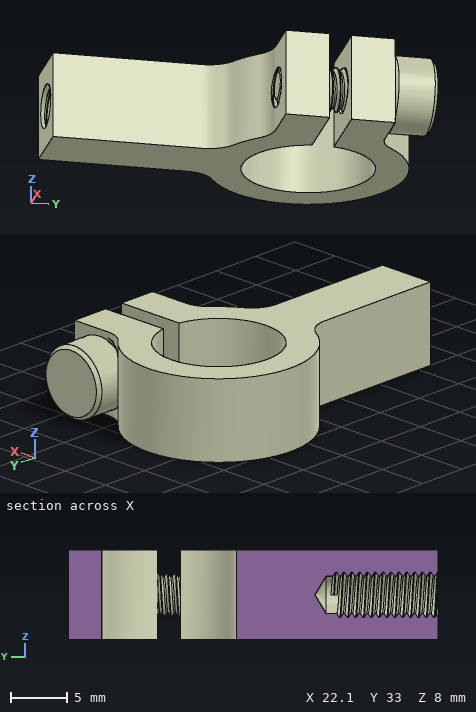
import cadquery as cq
import math

thickness = 8.0
ring_outer_radius = 9.0
ring_bore_radius = 6.0
blend_radius = 3.0
arm_half_width = 3.0
arm_end_y = -24.0
lug_half_width = 5.0
slot_width = 2.0

thread_diameter = 4.0
thread_core_diameter = 3.3
thread_pitch = 0.7
thread_base_width = 0.55
thread_crest_width = 0.08
thread_root_overlap = 0.05

head_diameter = 7.0
head_top_y = ring_outer_radius
head_edge_chamfer = 0.35
clearance_diameter = 4.1
screw_x = 9.62
screw_tip_y = -lug_half_width
screw_tip_diameter = 2.45
screw_rod_start_y = screw_tip_y - 4
screw_rod_end_y = 7.0
screw_thread_start_y = -6.14
screw_thread_turns = 17.25
lug_thread_turns = 8.75

arm_hole_depth = 10.0
arm_rod_start_y = arm_end_y - 3
arm_thread_start_y = -25.38
arm_thread_turns = 15.25
drill_point_angle = 118.0

lug_end_x = screw_x + head_diameter / 2


def cylinder_along_y(diameter, x, start_y, end_y):
    """Solid cylinder parallel to Y, centred on z = 0."""
    direction = cq.Vector(0, 1, 0)
    solid = cq.Solid.makeCylinder(diameter / 2, end_y - start_y, cq.Vector(x, start_y, 0), direction)
    return cq.Workplane(solid)


def cone_along_y(start_diameter, end_diameter, x, start_y, end_y):
    """Solid cone frustum parallel to Y; start_y may be above or below end_y."""
    direction = cq.Vector(0, math.copysign(1, end_y - start_y), 0)
    solid = cq.Solid.makeCone(
        start_diameter / 2, end_diameter / 2, abs(end_y - start_y), cq.Vector(x, start_y, 0), direction
    )
    return cq.Workplane(solid)


def thread_ridge(x, start_y, turns):
    """Right-hand helical ridge round an axis parallel to Y, starting on its +Z side at start_y."""
    core_radius = thread_core_diameter / 2
    crest_radius = thread_diameter / 2
    root_radius = core_radius - thread_root_overlap
    flank_slope = (thread_base_width - thread_crest_width) / 2 / (crest_radius - core_radius)
    crest_half = thread_crest_width / 2
    root_half = crest_half + flank_slope * (crest_radius - root_radius)
    profile = [
        (root_radius, -root_half),
        (crest_radius, -crest_half),
        (crest_radius, crest_half),
        (root_radius, root_half),
    ]
    helix = cq.Wire.makeHelix(thread_pitch, turns * thread_pitch, core_radius)
    return (
        cq.Workplane("XZ")
        .polyline(profile)
        .close()
        .sweep(cq.Workplane(helix), isFrenet=True)
        .rotate((0, 0, 0), (0, 0, 1), -90)
        .rotate((0, 0, 0), (1, 0, 0), -90)
        .translate((x, start_y, 0))
    )


def clamp_blank():
    """Ring with the arm and the lug block, blended into the ring by tangent fillets."""
    ring = cq.Workplane("XY").circle(ring_outer_radius).extrude(thickness)
    arm = (
        cq.Workplane("XY")
        .box(2 * arm_half_width, -arm_end_y, thickness, centered=(True, False, False))
        .translate((0, arm_end_y, 0))
    )
    lugs = cq.Workplane("XY").box(lug_end_x, 2 * lug_half_width, thickness, centered=(False, True, False))
    blank = ring.union(arm).union(lugs)
    arm_corner_y = -math.sqrt(ring_outer_radius**2 - arm_half_width**2)
    lug_corner_x = math.sqrt(ring_outer_radius**2 - lug_half_width**2)
    corners = [
        (-arm_half_width, arm_corner_y),
        (arm_half_width, arm_corner_y),
        (lug_corner_x, -lug_half_width),
        (lug_corner_x, lug_half_width),
    ]
    for x, y in corners:
        corner_edge = cq.selectors.NearestToPointSelector((x, y, thickness / 2))
        blank = blank.edges("|Z").edges(corner_edge).fillet(blend_radius)
    return blank.translate((0, 0, -thickness / 2))


def threaded_rod(x, start_y, end_y, thread_start_y, thread_turns):
    """Core cylinder from start_y to end_y with the thread ridge fused onto it."""
    core = cylinder_along_y(thread_core_diameter, x, start_y, end_y)
    return core.union(thread_ridge(x, thread_start_y, thread_turns))


def cut_arm_hole(clamp):
    """Cut the threaded blind hole, with its drill point and countersunk mouth, into the arm."""
    bottom_y = arm_end_y + arm_hole_depth
    point_length = thread_core_diameter / 2 / math.tan(math.radians(drill_point_angle / 2))
    mouth_depth = (thread_diameter - thread_core_diameter) / 2
    thread = threaded_rod(0, arm_rod_start_y, bottom_y, arm_thread_start_y, arm_thread_turns)
    point = cone_along_y(thread_core_diameter, 0, 0, bottom_y, bottom_y + point_length)
    mouth = cone_along_y(thread_diameter, thread_core_diameter, 0, arm_end_y, arm_end_y + mouth_depth)
    return clamp.cut(thread).cut(point).cut(mouth)


def cut_screw_hole(clamp):
    """Cut the head seat, the clearance hole in the +Y lug and the tapped hole in the -Y lug."""
    head_seat = cylinder_along_y(head_diameter, screw_x, lug_half_width, head_top_y)
    tapped_end_y = slot_width / 4
    clearance = cylinder_along_y(clearance_diameter, screw_x, 0, lug_half_width)
    tapped = threaded_rod(screw_x, screw_rod_start_y, tapped_end_y, screw_thread_start_y, lug_thread_turns)
    return clamp.cut(head_seat).cut(clearance).cut(tapped)


def make_clamp():
    bore = cq.Workplane("XY").circle(ring_bore_radius).extrude(thickness, both=True)
    slot = cq.Workplane("XY").box(lug_end_x, slot_width, thickness, centered=(False, True, True))
    clamp = clamp_blank().cut(bore).cut(slot)
    return cut_arm_hole(cut_screw_hole(clamp))


def make_screw():
    head = (
        cylinder_along_y(head_diameter, screw_x, lug_half_width, head_top_y)
        .faces("<Y or >Y")
        .chamfer(head_edge_chamfer)
    )
    rod = threaded_rod(screw_x, screw_rod_start_y, screw_rod_end_y, screw_thread_start_y, screw_thread_turns)
    tip_length = head_top_y - screw_tip_y
    tip = cone_along_y(
        screw_tip_diameter, screw_tip_diameter + 2 * tip_length, screw_x, screw_tip_y, head_top_y
    )
    return head.union(rod.intersect(tip))


clamp = make_clamp()
screw = make_screw()
result = cq.Compound.makeCompound([clamp.val(), screw.val()])